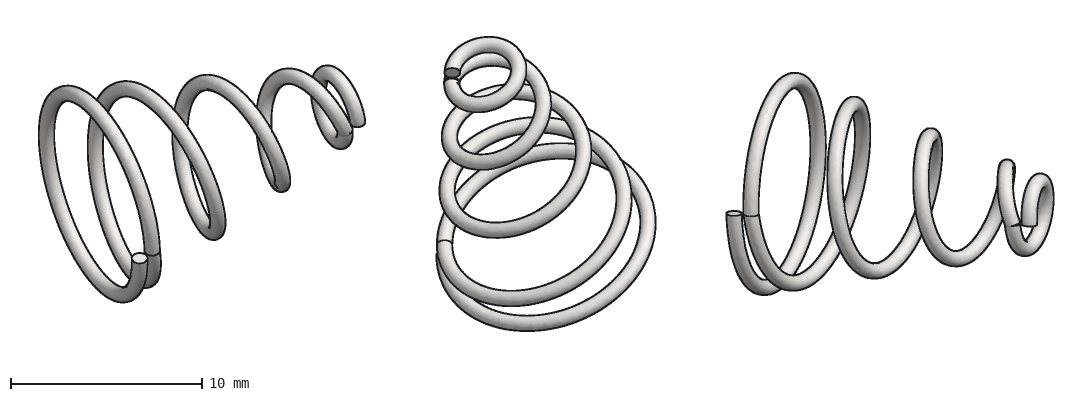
import cadquery as cq
import math

wire_diameter = 0.825
base_radius = 5.572
taper_per_length = 0.259
closed_pitch = 0.865
active_pitch = 4.44
closed_turns = 1
active_turns = 3

taper_angle = math.atan(taper_per_length)
wire_radius = wire_diameter / 2

active_start = closed_pitch * closed_turns
top_start = active_start + active_pitch * active_turns


def coil(start_height, pitch, turns):
    """Wind a tapering coil about Z that starts and ends on the +X side."""
    start_radius = base_radius - taper_per_length * start_height
    slope_pitch = pitch / math.cos(taper_angle)
    path = cq.Wire.makeHelix(
        slope_pitch,
        slope_pitch * turns,
        start_radius,
        center=cq.Vector(0, 0, start_height),
        angle=-math.degrees(taper_angle),
    )
    section = cq.Workplane("XZ").center(start_radius, start_height).circle(wire_radius)
    return section.sweep(cq.Workplane(path), isFrenet=True)


base_coil = coil(0, closed_pitch, closed_turns)
active_coils = coil(active_start, active_pitch, active_turns)
top_coil = coil(top_start, closed_pitch, closed_turns)
upright_spring = base_coil.union(active_coils).union(top_coil)

result = upright_spring.rotate((0, 0, 0), (1, 0, 0), -90)